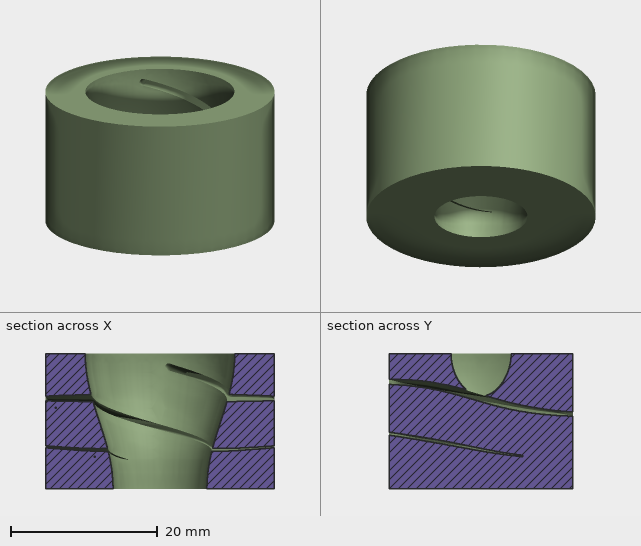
import cadquery as cq
import math

outer_diameter = 31.3
height = 18.43

bore_radius_bottom = 6.35
bore_radius_top = 10.17
bore_profile_steps = 16

slit_count = 2
slit_skin = 0.05
slit_start_gap = 0.13
slit_edge_steps = 24
first_slit_angle = -113.0

inner_edge = dict(
    radius=5.63, start_angle=-41.0, end_angle=303.0, start_z=3.75, end_z=17.52, sag=1.5, end_gap=1.25
)
outer_edge = dict(
    radius=outer_diameter / 2 - slit_skin,
    start_angle=0.0,
    end_angle=279.0,
    start_z=5.0,
    end_z=15.58,
    sag=0.5,
    end_gap=0.63,
)


def bore_point(step):
    """Point (radius, z) on the cosine-shaped bore wall."""
    fraction = step / bore_profile_steps
    blend = (1 - math.cos(math.pi * fraction)) / 2
    radius = bore_radius_bottom + (bore_radius_top - bore_radius_bottom) * blend
    return radius, height * fraction


def flared_body():
    """Cylinder with the flared bore running through it."""
    bore_wall = [bore_point(step) for step in range(bore_profile_steps + 1)]
    return (
        cq.Workplane("XZ")
        .moveTo(*bore_wall[0])
        .spline(bore_wall[1:], tangents=[(0, 1), (0, 1)], includeCurrent=True)
        .lineTo(outer_diameter / 2, height)
        .lineTo(outer_diameter / 2, 0)
        .close()
        .revolve(360, (0, 0, 0), (0, 1, 0))
    )


def slit_point(edge, fraction, side):
    """Point on a slit edge; side is -1 for the floor, 0 for mid-gap and +1 for the roof."""
    angle = math.radians(edge["start_angle"] + (edge["end_angle"] - edge["start_angle"]) * fraction)
    gap = slit_start_gap + (edge["end_gap"] - slit_start_gap) * math.sin(math.pi / 2 * fraction)
    rise = (edge["end_z"] - edge["start_z"]) * fraction
    drop = edge["sag"] * 4 * fraction * (1 - fraction)
    z = edge["start_z"] + rise - drop + side * gap / 2
    return cq.Vector(edge["radius"] * math.cos(angle), edge["radius"] * math.sin(angle), z)


def slit_edge(edge, side):
    fractions = [step / slit_edge_steps for step in range(slit_edge_steps + 1)]
    points = [slit_point(edge, fraction, side) for fraction in fractions]
    return cq.Edge.makeSpline(points, parameters=fractions)


def end_face(corners):
    return cq.Face.makeFromWires(cq.Wire.makePolygon(corners, close=True))


def helical_wedge():
    """Helical slab whose gap widens as it climbs and towards the axis."""
    edges = [
        slit_edge(inner_edge, -1),
        slit_edge(outer_edge, -1),
        slit_edge(outer_edge, 1),
        slit_edge(inner_edge, 1),
    ]
    faces = [cq.Face.makeRuledSurface(edges[i - 1], edges[i]) for i in range(len(edges))]
    faces.append(end_face([edge.startPoint() for edge in edges]))
    faces.append(end_face([edge.endPoint() for edge in edges]))
    return cq.Solid.makeSolid(cq.Shell.makeShell(faces))


def rounded_slit_end():
    """Cone that rounds off the wide upper end of a slit, kept inside the outer skin."""
    base = slit_point(inner_edge, 1, 0)
    direction = slit_point(outer_edge, 1, 0) - base
    cone = cq.Solid.makeCone(
        inner_edge["end_gap"] / 2, outer_edge["end_gap"] / 2, direction.Length, base, direction
    )
    return cone.intersect(cq.Solid.makeCylinder(outer_edge["radius"], height))


body = flared_body()
axis_start = cq.Vector(0, 0, 0)
axis_end = cq.Vector(0, 0, 1)
for index in range(slit_count):
    angle = first_slit_angle + index * 360 / slit_count
    for cutter in (helical_wedge(), rounded_slit_end()):
        body = body.cut(cq.Workplane(cutter.rotate(axis_start, axis_end, angle)))

result = body